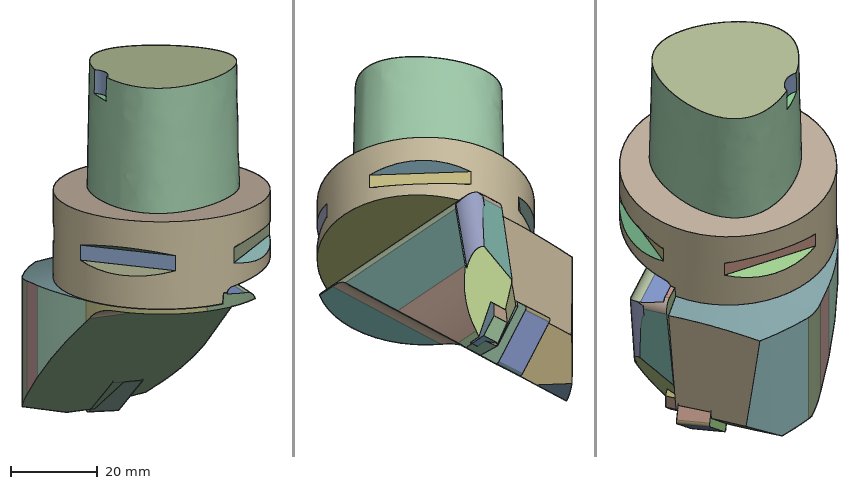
import cadquery as cq
import math


shank_height = 30.0
shank_base_radius = 17.4
shank_top_radius = 16.8
lobe_height = 1.2
key_radius = 4.3
key_axis_y = -18.3
key_depth = 5.7

flange_diameter = 50.0
flange_radius = flange_diameter / 2
flange_height = 21.0
groove_floor_distance = 22.1
groove_z = -10.0
groove_floor_height = 3.6
groove_mouth_height = 6.8
groove_count = 4

head_radius = 25.2
head_rim_z = -22.2
head_bottom_z = -60.9
head_top_z = -18.5
head_back_y = 15.3
top_slope = 0.25
tip_x = -22.8
tip_z = -58.4
flank_top_x = -30.2
flank_top_z = -23.6
lug_flank_x = -31.0
flank_bottom_x = -32.7
lower_flank_z = tip_z + (tip_x - flank_bottom_x)
underside_blend_x = 10.4
underside_blend_end_x = 16.2
toe_point = (-22.8, -15.5, -57.75)
toe_normal = (-0.03, -0.32, -0.95)
corner_size = 2.7
corner_bulge = corner_size * (1 - math.sqrt(0.5))

lug_edge = (-28.9, 16.4, 0.0)
lug_edge_radius = 4.5
lug_lean = 5.5
lug_facet_point = (-31.6, 10.1, -36.5)
lug_facet_normal = (-0.83, 0.34, -0.44)

cutter_reach = 54.1

insert_side = 15.0
insert_thickness = 7.9
insert_corner_radius = 0.8
insert_tip = (-24.8, 0.1, -60.55)
insert_tilt_x = -5.9
insert_tilt_z = 4.5
rake_slope = math.tan(math.radians(-insert_tilt_x))

nose_front_y = 0.0
nose_back_y = 5.05
nose_outline = [(-27.5, -46.1), (-29.3, -48.0), (-29.3, -51.4), (-25.7, -55.1), (-21.7, -55.1), (-18.05, -51.5),
                (-18.05, -46.1)]


def lobed_outline(radius):
    """Closed three-lobed curve with a lobe on +Y, as a function of t from 0 to 1."""
    def point(t):
        angle = 2 * math.pi * t
        across = radius * math.sin(angle) - lobe_height * math.sin(2 * angle)
        along = radius * math.cos(angle) + lobe_height * math.cos(2 * angle)
        return (across, along)
    return point


def make_shank():
    base = cq.Workplane("XY").parametricCurve(lobed_outline(shank_base_radius))
    top = cq.Workplane("XY").workplane(offset=shank_height).parametricCurve(lobed_outline(shank_top_radius))
    shank = cq.Workplane(cq.Solid.makeLoft([base.val(), top.val()], True))
    key = (
        cq.Workplane("XY").workplane(offset=shank_height - key_depth)
        .center(0, key_axis_y).circle(key_radius).extrude(key_depth)
    )
    return shank.cut(key)


def make_groove_cutter(angle):
    """Bar whose trapezoidal section narrows to the flat floor of the groove."""
    depth = flange_radius - groove_floor_distance
    half_floor = groove_floor_height / 2
    half_mouth = groove_mouth_height / 2
    section = [
        (groove_floor_distance, groove_z - half_floor),
        (groove_floor_distance + depth, groove_z - half_mouth),
        (groove_floor_distance + depth, groove_z + half_mouth),
        (groove_floor_distance, groove_z + half_floor),
    ]
    bar = cq.Workplane("XZ").polyline(section).close().extrude(flange_radius, both=True)
    return bar.rotate((0, 0, 0), (0, 0, 1), angle)


def make_flange():
    flange = cq.Workplane("XY").circle(flange_radius).extrude(-flange_height)
    for index in range(groove_count):
        flange = flange.cut(make_groove_cutter(45 + index * 360 / groove_count))
    return flange


def make_head_plan():
    """Vertical prism that carries the curved -Y face of the head."""
    left_x = insert_tip[0] - insert_side
    return (
        cq.Workplane("XY").workplane(offset=head_bottom_z)
        .moveTo(left_x, head_back_y)
        .lineTo(left_x, -9.0)
        .lineTo(-32.85, -15.5)
        .threePointArc((-26.9, -21.2), (-19.6, -26.35))
        .threePointArc((-17.1, -27.25), (-14.35, -27.5))
        .lineTo(-8.5, -27.5)
        .threePointArc((0.3, -26.35), (9.3, -math.sqrt(head_radius**2 - 9.3**2)))
        .threePointArc((head_radius * math.cos(math.pi / 6), -head_radius / 2), (head_radius, 0))
        .threePointArc((22.4, 11.55), (math.sqrt(head_radius**2 - head_back_y**2), head_back_y))
        .close().extrude(head_top_z - head_bottom_z)
    )


def make_head_profile():
    """XZ outline: leaning flank, 90 degree point and the 45 degree underside."""
    blend_z = tip_z + (underside_blend_x - tip_x)
    return (
        cq.Workplane("XZ")
        .moveTo(lug_flank_x + corner_size, head_top_z)
        .threePointArc(
            (lug_flank_x + corner_bulge, head_top_z - corner_bulge),
            (lug_flank_x, head_top_z - corner_size),
        )
        .lineTo(flank_bottom_x, lower_flank_z)
        .lineTo(tip_x, tip_z)
        .lineTo(underside_blend_x, blend_z)
        .threePointArc((12.8, -23.0), (underside_blend_end_x, head_rim_z))
        .lineTo(head_radius, head_rim_z)
        .lineTo(head_radius, head_top_z)
        .close().extrude(cutter_reach, both=True)
    )


def make_front_side():
    """Space on the -Y side of the rake plane."""
    rake_top_y = insert_tip[1] - rake_slope * insert_tip[2]
    rake_low_y = rake_top_y - rake_slope * 2 * cutter_reach
    return (
        cq.Workplane("YZ")
        .polyline([(rake_top_y, 0), (rake_low_y, -2 * cutter_reach),
                   (-cutter_reach, -2 * cutter_reach), (-cutter_reach, 0)])
        .close().extrude(cutter_reach, both=True)
    )


def make_front_relief():
    """Space above the conical top and outside the flank, on the -Y side of the rake plane."""
    outer_z = -flange_height - top_slope * (cutter_reach - flange_radius)
    ring = (
        cq.Workplane("XZ")
        .polyline([(0, 0), (0, -flange_height), (flange_radius, -flange_height),
                   (cutter_reach, outer_z), (cutter_reach, 0)])
        .close().revolve(360, (0, 0), (0, 1))
    )
    flank_run = flank_top_x - flank_bottom_x
    flank_drop = flank_top_z - lower_flank_z
    flank_cutter = make_plane_cutter((flank_bottom_x, 0, lower_flank_z), (-flank_drop, 0, flank_run))
    return ring.union(flank_cutter).intersect(make_front_side())


def make_lug_edge_cutter():
    """Leaning bar with a concave quarter round that rounds the outer back edge of the lug."""
    radius = lug_edge_radius
    bar = (
        cq.Workplane("XY").workplane(offset=-cutter_reach)
        .moveTo(0, -radius)
        .threePointArc((radius * (1 - math.sqrt(0.5)), -radius * (1 - math.sqrt(0.5))), (radius, 0))
        .lineTo(radius, radius)
        .lineTo(-radius, radius)
        .lineTo(-radius, -radius)
        .close().extrude(cutter_reach)
    )
    bar = bar.rotate((0, 0, 0), (0, 1, 0), lug_lean)
    bar = bar.rotate((0, 0, 0), (1, 0, 0), -lug_lean)
    return bar.translate(lug_edge)


def make_plane_cutter(origin, outward):
    """Block lying on the outward side of a plane."""
    plane = cq.Plane(origin=origin, normal=outward)
    return cq.Workplane(plane).rect(cutter_reach, cutter_reach).extrude(cutter_reach / 2)


def make_chip_clearance():
    """Space on the +Y side: under the flange, behind the lug and below it."""
    far_y = cutter_reach
    return (
        cq.Workplane("YZ")
        .moveTo(far_y, -13.5)
        .lineTo(7.2, -17.4)
        .threePointArc((5.9, -18.0), (5.4, -18.9))
        .lineTo(10.7, -19.8)
        .threePointArc((13.7, -21.3), (14.5, -23.9))
        .lineTo(13.0, -40.3)
        .threePointArc((10.3, -47.8), (6.05, -53.4))
        .lineTo(4.8, -54.9)
        .lineTo(0.2, -55.8)
        .lineTo(0.2, -cutter_reach * 1.2)
        .lineTo(far_y, -cutter_reach * 1.2)
        .close().extrude(cutter_reach, both=True)
    )


def make_clamp_nose():
    return (
        cq.Workplane("XZ", origin=(0, nose_back_y, 0))
        .polyline(nose_outline).close().extrude(nose_back_y - nose_front_y)
    )


def make_insert():
    center_rise = insert_side / math.sqrt(2)
    plate = (
        cq.Workplane("XZ").rect(insert_side, insert_side).extrude(insert_thickness)
        .edges("|Y").fillet(insert_corner_radius)
        .rotate((0, 0, 0), (0, 1, 0), 45)
        .translate((0, 0, center_rise))
    )
    plate = plate.rotate((0, 0, 0), (1, 0, 0), insert_tilt_x)
    plate = plate.rotate((0, 0, 0), (0, 0, 1), insert_tilt_z)
    return plate.translate(insert_tip)


def make_holder(insert):
    head = make_head_plan().intersect(make_head_profile()).cut(make_front_relief())
    toe_cutter = make_plane_cutter(toe_point, toe_normal)
    lug_cutter = make_plane_cutter(lug_facet_point, lug_facet_normal).cut(make_front_side())
    head = head.cut(toe_cutter).cut(lug_cutter).cut(make_lug_edge_cutter())
    body = make_flange().union(head).cut(make_chip_clearance())
    return body.union(make_clamp_nose()).union(make_shank()).cut(insert)


insert = make_insert()
holder = make_holder(insert)

result = cq.Compound.makeCompound([holder.solids().val(), insert.solids().val()])